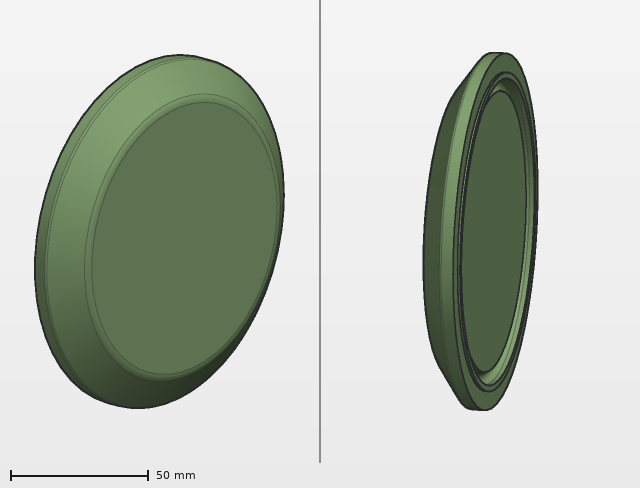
import cadquery as cq

outer_radius = 65.0
thickness = 15.5

ring_radius = 58.1
ring_height = 0.9

recess_radius = 55.9
recess_depth = 2.0
floor_radius = 51.2
groove_radius = (recess_radius - floor_radius) / 2
groove_center_radius = (recess_radius + floor_radius) / 2

rim_end = 6.0
back_radius = 52.0
rim_fillet = 1.0
back_fillet = 5.0

front_x = -thickness / 2
floor_x = front_x + recess_depth
ring_base_x = front_x + ring_height
rim_end_x = front_x + rim_end
back_x = thickness / 2

section = (
    cq.Workplane("XY")
    .moveTo(floor_x, 0)
    .lineTo(floor_x, floor_radius)
    .threePointArc(
        (floor_x + groove_radius, groove_center_radius),
        (floor_x, recess_radius),
    )
    .lineTo(front_x, recess_radius)
    .lineTo(front_x, ring_radius)
    .lineTo(ring_base_x, ring_radius)
    .lineTo(ring_base_x, outer_radius)
    .lineTo(rim_end_x, outer_radius)
    .lineTo(back_x, back_radius)
    .lineTo(back_x, 0)
    .close()
)
disc = section.revolve(360, (0, 0, 0), (1, 0, 0))

disc = disc.faces(">X").edges().fillet(back_fillet)
rim_corner = cq.selectors.NearestToPointSelector((rim_end_x, 0, 0))
result = disc.faces("%CYLINDER").edges("%CIRCLE").edges(rim_corner).fillet(rim_fillet)